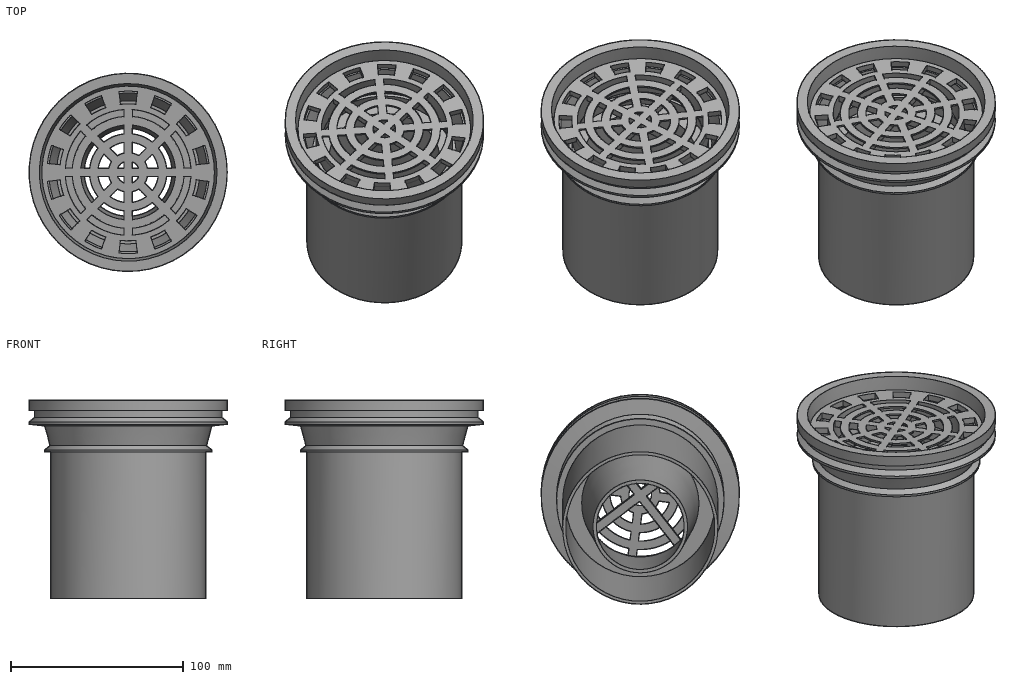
import cadquery as cq
import math

total_height = 115.0

pipe_outer_d = 90.0
pipe_inner_d = 86.4

rim_d = 115.0
rim_height = 6.0
neck_d = 109.0
flare_top_depth = 10.0
flare_bottom_depth = 12.6
flange_edge_depth = 14.0
flange_bottom_depth = 15.0
collar_d = 97.11
collar_angle = 15.0
lip_top_depth = 26.4
lip_edge_depth = 28.8
lip_bottom_depth = 30.0

mouth_d = 103.0
seat_d = 100.0
grate_top_depth = 8.0
seat_depth = 11.5
funnel_bottom_d = 83.0
funnel_bottom_depth = 28.5
sump_d = 79.42
sump_floor_depth = 35.0

outlet_top_d = 64.0
outlet_bottom_d = 50.8
outlet_bottom_depth = 110.0
outlet_wall = 2.0
sump_floor_thickness = 2.0

grate_thickness = seat_depth - grate_top_depth
web_thickness = 1.0
rib_height = 4.0
skirt_inner_d = 73.0
skirt_outer_d = sump_d
skirt_height = 13.7
spoke_width = 5.0
cross_angles = [0, 90]
diagonal_angles = [45, 135]
hub_hole_d = 13.0
slot_rings = [(23.0, 35.0), (45.0, 55.0), (65.0, skirt_inner_d)]
pocket_count = 14
pocket_inner_d = skirt_outer_d
pocket_outer_d = 94.2
pocket_sweep = 13.0
first_pocket_angle = 90.0


def level(depth):
    """Height of a plane that lies the given depth below the top rim."""
    return total_height - depth


def turned(points):
    """Solid of revolution about Z from (diameter, depth) corners."""
    outline = [(diameter / 2, level(depth)) for diameter, depth in points]
    return cq.Workplane("XZ").polyline(outline).close().revolve(360, (0, 0, 0), (0, 1, 0))


def make_pipe():
    """Plain tube from the base up to the underside of the housing lip."""
    return (
        cq.Workplane("XY")
        .circle(pipe_outer_d / 2)
        .circle(pipe_inner_d / 2)
        .extrude(level(lip_bottom_depth))
    )


def make_housing():
    """Rim, funnel, spigot inside the pipe, sump and tapered outlet tube."""
    slope = math.tan(math.radians(collar_angle))
    collar_bottom_d = collar_d - 2 * slope * (lip_top_depth - flange_bottom_depth)
    funnel_top_d = funnel_bottom_d + 2 * slope * (funnel_bottom_depth - seat_depth)
    floor_under = sump_floor_depth + sump_floor_thickness
    return turned([
        (mouth_d, 0),
        (rim_d, 0),
        (rim_d, rim_height),
        (neck_d, rim_height),
        (neck_d, flare_top_depth),
        (rim_d, flare_bottom_depth),
        (rim_d, flange_edge_depth),
        (collar_d, flange_bottom_depth),
        (collar_bottom_d, lip_top_depth),
        (collar_d, lip_edge_depth),
        (collar_d, lip_bottom_depth),
        (pipe_inner_d, lip_bottom_depth),
        (pipe_inner_d, floor_under),
        (outlet_top_d + 2 * outlet_wall, floor_under),
        (outlet_bottom_d + 2 * outlet_wall, outlet_bottom_depth),
        (outlet_bottom_d, outlet_bottom_depth),
        (outlet_top_d, sump_floor_depth),
        (sump_d, sump_floor_depth),
        (sump_d, funnel_bottom_depth),
        (funnel_bottom_d, funnel_bottom_depth),
        (funnel_top_d, seat_depth),
        (seat_d, seat_depth),
    ])


def grate_top():
    """Workplane on the upper face of the grate."""
    return cq.Workplane("XY").workplane(offset=level(grate_top_depth))


def disc_below_top(diameter, height):
    return grate_top().circle(diameter / 2).extrude(-height)


def ring_below_top(inner_d, outer_d, height):
    return grate_top().circle(outer_d / 2).circle(inner_d / 2).extrude(-height)


def spoke(angle, height):
    """Bar across the whole grate, ending inside the skirt wall."""
    spoke_length = (skirt_inner_d + skirt_outer_d) / 2
    bar = grate_top().rect(spoke_length, spoke_width).extrude(-height)
    return bar.rotate((0, 0, 0), (0, 0, 1), angle)


def without_spokes(cutter, angles):
    for angle in angles:
        cutter = cutter.cut(spoke(angle, web_thickness))
    return cutter


def pocket_cutter(angle):
    """Piece of a ring with radial ends, centred on the given angle."""
    half = math.radians(pocket_sweep / 2)
    reach = seat_d
    corner_x = reach * math.cos(half)
    corner_y = reach * math.sin(half)
    wedge = (
        grate_top()
        .polyline([(0, 0), (corner_x, -corner_y), (corner_x, corner_y)])
        .close()
        .extrude(-grate_thickness)
    )
    pocket = ring_below_top(pocket_inner_d, pocket_outer_d, grate_thickness).intersect(wedge)
    return pocket.rotate((0, 0, 0), (0, 0, 1), angle)


def make_grate():
    plate = turned([
        (0, grate_top_depth),
        (seat_d, grate_top_depth),
        (seat_d, seat_depth),
        (skirt_outer_d, seat_depth),
        (skirt_outer_d, grate_top_depth + skirt_height),
        (skirt_inner_d, grate_top_depth + skirt_height),
        (skirt_inner_d, grate_top_depth + web_thickness),
        (0, grate_top_depth + web_thickness),
    ])
    hub_hole = disc_below_top(hub_hole_d, web_thickness)
    plate = plate.cut(without_spokes(hub_hole, cross_angles))
    for inner_d, outer_d in slot_rings:
        ring = ring_below_top(inner_d, outer_d, web_thickness)
        plate = plate.cut(without_spokes(ring, cross_angles + diagonal_angles))
    for angle in cross_angles:
        plate = plate.union(spoke(angle, rib_height))
    for i in range(pocket_count):
        plate = plate.cut(pocket_cutter(first_pocket_angle + i * 360 / pocket_count))
    return plate


pipe = make_pipe()
housing = make_housing()
grate = make_grate()

result = cq.Compound.makeCompound([pipe.val(), housing.val(), grate.val()])